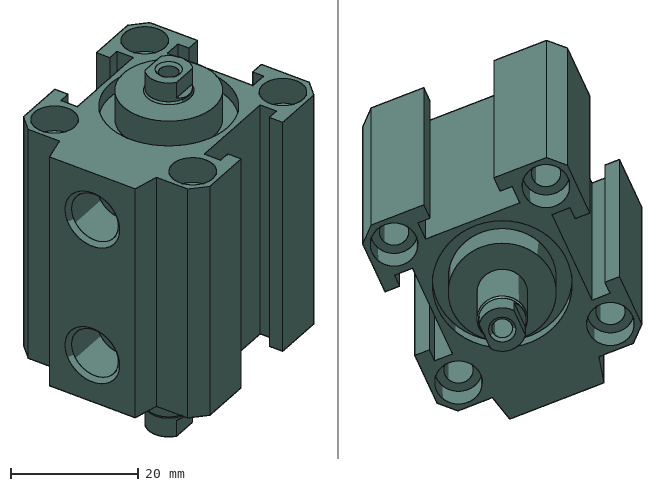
import cadquery as cq
import math


body_width = 35.0
body_height = 44.0
corner_chamfer = 2.5
half_width = body_width / 2
half_height = body_height / 2

pad_height = 4.5
pad_root_width = 18.2
pad_tip_width = 16.1

slot_mouth_width = 12.0
slot_inner_width = 16.1
slot_lip = 2.5
slot_depth = 5.6

boss_diameter = 17.0
boss_height = 3.0
recess_diameter = 22.0
recess_depth = 2.5

mount_spacing = 26.0
mount_diameter = 4.6
counterbore_diameter = 7.5
counterbore_depth = 4.75

port_end_distance = 9.0
port_spacing = body_height - 2 * port_end_distance
port_diameter = 8.8
port_mouth_diameter = 10.3
port_chamfer_depth = 0.75
port_depth = 8.0

rod_diameter = 7.95
rod_extension = 10.0
tip_length = 4.0
tip_diameter = 7.55
shoulder_height = 0.4
flat_width = 6.0
flat_length = 3.0
flat_runout_angle = 30.0
tap_diameter = 3.25
tap_mouth_diameter = 4.3
tap_depth = 8.0
drill_point_angle = 118.0

rod_top = half_height + boss_height + tip_length
rod_bottom = -(half_height + boss_height + rod_extension + tip_length)


def both_ends(shape):
    """The given shape together with its mirror image about Z = 0."""
    return shape.union(shape.mirror("XY"))


def t_slot(angle):
    """Cutter for a full-height T-slot in the +Y side, turned about Z by the angle."""
    mouth = cq.Workplane("XY").box(slot_mouth_width, slot_depth, body_height)
    mouth = mouth.translate((0, half_width - slot_depth / 2, 0))
    inner_depth = slot_depth - slot_lip
    inner = cq.Workplane("XY").box(slot_inner_width, inner_depth, body_height)
    inner = inner.translate((0, half_width - slot_lip - inner_depth / 2, 0))
    return mouth.union(inner).rotate((0, 0, 0), (0, 0, 1), angle)


def port_pad():
    """Tapered full-height pad on the -Y side."""
    return (
        cq.Workplane("XY", origin=(0, 0, -half_height))
        .moveTo(-pad_root_width / 2, -half_width)
        .lineTo(-pad_tip_width / 2, -half_width - pad_height)
        .lineTo(pad_tip_width / 2, -half_width - pad_height)
        .lineTo(pad_root_width / 2, -half_width)
        .close()
        .extrude(body_height)
    )


def mounting_holes():
    """Cutters for the four corner holes, counterbored at both ends."""
    through = (
        cq.Workplane("XY", origin=(0, 0, -half_height))
        .rect(mount_spacing, mount_spacing, forConstruction=True)
        .vertices()
        .circle(mount_diameter / 2)
        .extrude(body_height)
    )
    counterbores = (
        cq.Workplane("XY", origin=(0, 0, half_height - counterbore_depth))
        .rect(mount_spacing, mount_spacing, forConstruction=True)
        .vertices()
        .circle(counterbore_diameter / 2)
        .extrude(counterbore_depth)
    )
    return through.union(both_ends(counterbores))


def end_recess():
    """Cutter for the annular recess around the upper boss."""
    return (
        cq.Workplane("XY", origin=(0, 0, half_height - recess_depth))
        .circle(recess_diameter / 2)
        .circle(boss_diameter / 2)
        .extrude(recess_depth)
    )


def air_port(height):
    """Cutter for a blind port with a chamfered mouth, bored in +Y from the pad face."""
    return (
        cq.Workplane("XY")
        .lineTo(port_mouth_diameter / 2, 0)
        .lineTo(port_diameter / 2, port_chamfer_depth)
        .lineTo(port_diameter / 2, port_depth)
        .lineTo(0, port_depth)
        .close()
        .revolve(360, (0, 0, 0), (0, 1, 0))
        .translate((0, -half_width - pad_height, height))
    )


def make_housing():
    block = cq.Workplane("XY").box(body_width, body_width, body_height)
    block = block.edges("|Z").chamfer(corner_chamfer).union(port_pad())
    for angle in (-90, 0, 90):
        block = block.cut(t_slot(angle))
    block = block.cut(mounting_holes()).cut(both_ends(end_recess()))
    for height in (-port_spacing / 2, port_spacing / 2):
        block = block.cut(air_port(height))
    boss = cq.Workplane("XY", origin=(0, 0, half_height)).circle(boss_diameter / 2).extrude(boss_height)
    bore_length = body_height + 2 * boss_height
    bore = cq.Workplane("XY").circle(rod_diameter / 2).extrude(bore_length / 2, both=True)
    return block.union(both_ends(boss)).cut(bore)


def tip_flat():
    """Cutter for the +X flat of a tip whose end is at Z = 0, with a sloped run-out at its root."""
    flat_x = flat_width / 2
    outer_x = rod_diameter / 2
    runout = (outer_x - flat_x) * math.tan(math.radians(flat_runout_angle))
    return (
        cq.Workplane("XZ")
        .moveTo(flat_x, 0)
        .lineTo(flat_x, -flat_length)
        .lineTo(outer_x, -flat_length - runout)
        .lineTo(outer_x, 0)
        .close()
        .extrude(rod_diameter / 2, both=True)
    )


def tap_hole():
    """Cutter for the blind centre hole of a tip whose end is at Z = 0."""
    radius = tap_diameter / 2
    chamfer = (tap_mouth_diameter - tap_diameter) / 2
    point = radius / math.tan(math.radians(drill_point_angle / 2))
    return (
        cq.Workplane("XZ")
        .lineTo(tap_mouth_diameter / 2, 0)
        .lineTo(radius, -chamfer)
        .lineTo(radius, -tap_depth)
        .lineTo(0, -tap_depth - point)
        .close()
        .revolve(360, (0, 0, 0), (0, 1, 0))
    )


def make_rod():
    shoulder_top = rod_top - tip_length
    shoulder_bottom = rod_bottom + tip_length
    rod = (
        cq.Workplane("XZ")
        .moveTo(0, rod_bottom)
        .lineTo(tip_diameter / 2, rod_bottom)
        .lineTo(tip_diameter / 2, shoulder_bottom - shoulder_height)
        .lineTo(rod_diameter / 2, shoulder_bottom)
        .lineTo(rod_diameter / 2, shoulder_top)
        .lineTo(tip_diameter / 2, shoulder_top + shoulder_height)
        .lineTo(tip_diameter / 2, rod_top)
        .lineTo(0, rod_top)
        .close()
        .revolve(360, (0, 0, 0), (0, 1, 0))
    )
    tip_cutter = tap_hole().union(tip_flat()).union(tip_flat().mirror("YZ"))
    rod = rod.cut(tip_cutter.translate((0, 0, rod_top)))
    return rod.cut(tip_cutter.mirror("XY").translate((0, 0, rod_bottom)))


housing = make_housing()
rod = make_rod()
result = cq.Compound.makeCompound([housing.val(), rod.val()])